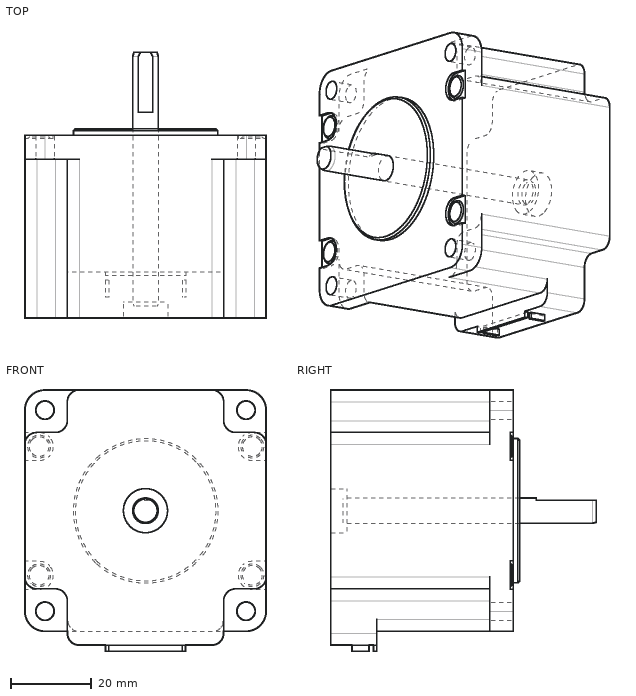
import cadquery as cq


total_length = 66.1
overall_height = 65.0
shaft_reach = 20.6
housing_length = total_length - shaft_reach

flange_width = 60.0
flange_thickness = 5.95
flange_corner_radius = 5.0
half_width = flange_width / 2
bolt_offset = half_width - flange_corner_radius
bolt_hole_diameter = 4.5

pilot_diameter = 35.95
pilot_height = 1.6
pilot_chamfer = 0.5

pocket_width = 7.0
pocket_depth = 0.8
pocket_offset = 16.0
pocket_reach = half_width - pocket_width / 2
screw_head_diameter = 5.7
screw_head_height = 0.4
screw_head_taper = 45

cross_arm_width = 38.85
body_fillet = 3.0

cover_length = 11.5
cover_drop = 3.45

connector_width = 19.95
connector_depth = 6.2
connector_height = overall_height - flange_width - cover_drop
connector_wall = 0.85
connector_slot = 1.05

rear_recess_diameter = 11.0
rear_recess_depth = 4.0

shaft_diameter = 6.35
shaft_flat_length = 14.95
shaft_flat_height = 2.65
end_taper_length = 1.0
end_taper_depth = 0.25

rear_face = -housing_length
cover_front = rear_face + cover_length
recess_floor = rear_face + rear_recess_depth


def box_between(x_range, y_range, z_range):
    """Axis-aligned box from its limits on each axis."""
    sizes = [high - low for low, high in (x_range, y_range, z_range)]
    corner = (x_range[0], y_range[0], z_range[0])
    return cq.Workplane("XY").box(*sizes, centered=False).translate(corner)


def cylinder_between(diameter, y_start, y_end):
    """Cylinder on the shaft axis from y_start forward to y_end."""
    plane = cq.Workplane("XZ", origin=(0, y_start, 0))
    return plane.circle(diameter / 2).extrude(y_start - y_end)


def make_flange():
    """Square plate with round corners and four bolt holes."""
    spacing = 2 * bolt_offset
    plate = cq.Workplane("XZ").rect(flange_width, flange_width).extrude(flange_thickness)
    plate = plate.edges("|Y").fillet(flange_corner_radius)
    holes = cq.Workplane("XZ").rect(spacing, spacing, forConstruction=True).vertices()
    return plate.cut(holes.circle(bolt_hole_diameter / 2).extrude(flange_thickness))


def make_edge_pocket(side, level):
    """Cutter for one pocket; side and level are -1 or 1 for its place in X and Z."""
    z_centre = level * pocket_offset
    radius = pocket_width / 2
    x_range = sorted((side * pocket_reach, side * half_width))
    z_range = (z_centre - radius, z_centre + radius)
    mouth = box_between(x_range, (-pocket_depth, 0), z_range)
    round_end = cylinder_between(pocket_width, -pocket_depth, 0)
    return mouth.union(round_end.translate((side * pocket_reach, 0, z_centre)))


def make_screw_head(side, level):
    """Tapered screw head on the floor of one pocket."""
    floor = cq.Workplane("XZ", origin=(0, -pocket_depth, 0))
    head = floor.circle(screw_head_diameter / 2).extrude(-screw_head_height, taper=screw_head_taper)
    return head.translate((side * pocket_reach, 0, level * pocket_offset))


def make_cross(y_front, bottom):
    """Filleted cross prism from y_front to the rear face, its lower arm ending at bottom."""
    half_arm = cross_arm_width / 2
    y_range = (rear_face, y_front)
    upright = box_between((-half_arm, half_arm), y_range, (bottom, half_width))
    crossbar = box_between((-half_width, half_width), y_range, (-half_arm, half_arm))
    return upright.union(crossbar).edges("|Y").fillet(body_fillet)


def make_connector():
    """End wall and two side walls under the rear cover, with a slot between them."""
    half_length = connector_width / 2
    top = -half_width - cover_drop
    z_range = (top - connector_height, top)
    wall_back = cover_front - connector_wall
    side_y_range = (cover_front - connector_depth, wall_back - connector_slot)
    inner = half_length - connector_wall
    end_wall = box_between((-half_length, half_length), (wall_back, cover_front), z_range)
    left_wall = box_between((-half_length, -inner), side_y_range, z_range)
    right_wall = box_between((inner, half_length), side_y_range, z_range)
    return end_wall, left_wall, right_wall


def make_housing():
    """Flange, pilot, motor body, rear cover and connector as one solid, bored for the shaft."""
    pilot = cylinder_between(pilot_diameter, 0, pilot_height)
    pilot = pilot.faces(">Y").chamfer(pilot_chamfer)
    body = make_cross(-flange_thickness, -half_width)
    cover = make_cross(cover_front, -half_width - cover_drop)

    housing = make_flange().union(pilot).union(body).union(cover)
    for side in (-1, 1):
        for level in (-1, 1):
            housing = housing.cut(make_edge_pocket(side, level)).union(make_screw_head(side, level))
    for wall in make_connector():
        housing = housing.union(wall)

    bore = cylinder_between(shaft_diameter, recess_floor, pilot_height)
    recess = cylinder_between(rear_recess_diameter, rear_face, recess_floor)
    return housing.cut(bore).cut(recess)


def make_shaft():
    """Round shaft from the rear recess to the tip, with tapered ends and a flat on top."""
    radius = shaft_diameter / 2
    end_radius = radius - end_taper_depth
    rear_end = recess_floor - end_taper_length
    profile = [
        (0, rear_end),
        (end_radius, rear_end),
        (radius, recess_floor),
        (radius, shaft_reach - end_taper_length),
        (end_radius, shaft_reach),
        (0, shaft_reach),
    ]
    shaft = cq.Workplane("XY").polyline(profile).close().revolve(360, (0, 0, 0), (0, 1, 0))
    flat = box_between(
        (-radius, radius),
        (shaft_reach - shaft_flat_length, shaft_reach),
        (shaft_flat_height, radius),
    )
    return shaft.cut(flat)


housing = make_housing()
shaft = make_shaft()

result = cq.Compound.makeCompound([housing.val(), shaft.val()])